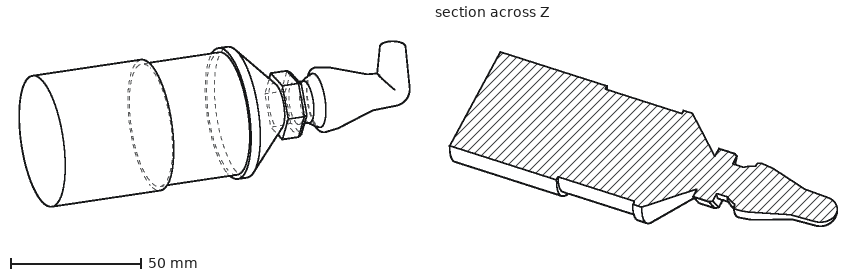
import cadquery as cq
import math

LENGTH = 149.9

CAP_RADIUS = 50.8 / 2
BARREL_RADIUS = 47.5 / 2
CAP_END = 44.4
BARREL_END = 76.0
FLANGE_END = 79.7
SHOULDER_END_RADIUS = 9.0
SHOULDER_END = 95.8

NUT_ACROSS_FLATS = 22.5
NUT_THICKNESS = 8.0
NUT_CHAMFER_LENGTH = 1.3
NUT_CHAMFER_DEPTH = 0.7
NUT_END = SHOULDER_END + NUT_THICKNESS

NECK_RADIUS = 16.2 / 2
NECK_END = 108.0
BALL_RADIUS = 11.0
BALL_CENTER = NECK_END + math.sqrt(BALL_RADIUS**2 - NECK_RADIUS**2)

SOCKET_START = 112.1
SOCKET_RADIUS = 12.6
RIM_ROUND = 1.5
BELL_END = 120.8
BELL_END_RADIUS = 11.2
CONE_END = 133.8
CONE_END_RADIUS = 7.0
CONE_BLEND_RADIUS = 3.0

ELBOW_RADIUS = 6.6
ELBOW_CENTER = LENGTH - ELBOW_RADIUS
OUTLET_HEIGHT = 18.0
OUTLET_TOP_RADIUS = 5.0
OUTLET_ROUND = 0.5


def revolve_about_y(profile):
    return profile.close().revolve(360, (0, 0, 0), (0, 1, 0))


def make_body():
    profile = (
        cq.Workplane("XY")
        .lineTo(CAP_RADIUS, 0)
        .lineTo(CAP_RADIUS, CAP_END)
        .lineTo(BARREL_RADIUS, CAP_END)
        .lineTo(BARREL_RADIUS, BARREL_END)
        .lineTo(CAP_RADIUS, BARREL_END)
        .lineTo(CAP_RADIUS, FLANGE_END)
        .lineTo(SHOULDER_END_RADIUS, SHOULDER_END)
        .lineTo(0, SHOULDER_END)
    )
    return revolve_about_y(profile)


def make_nut():
    corner_diameter = NUT_ACROSS_FLATS / math.cos(math.pi / 6)
    straight_length = NUT_THICKNESS - NUT_CHAMFER_LENGTH
    chamfer_angle = math.degrees(math.atan2(NUT_CHAMFER_DEPTH, NUT_CHAMFER_LENGTH))
    base = cq.Workplane("XZ", origin=(0, SHOULDER_END, 0)).polygon(6, corner_diameter)
    rim = cq.Workplane("XZ", origin=(0, SHOULDER_END + straight_length, 0)).polygon(6, corner_diameter)
    return base.extrude(-straight_length).union(rim.extrude(-NUT_CHAMFER_LENGTH, taper=chamfer_angle))


def make_neck_and_ball():
    neck = cq.Workplane("XZ", origin=(0, NUT_END, 0)).circle(NECK_RADIUS).extrude(NUT_END - BALL_CENTER)
    ball = cq.Workplane("XY", origin=(0, BALL_CENTER, 0)).sphere(BALL_RADIUS)
    socket_side = cq.Workplane("XZ", origin=(0, BALL_CENTER, 0)).circle(BALL_RADIUS).extrude(-BALL_RADIUS)
    return neck.union(ball.cut(socket_side))


def make_socket_and_arm():
    rim_offset = RIM_ROUND * (1 - math.sqrt(0.5))
    profile = (
        cq.Workplane("XY")
        .moveTo(0, SOCKET_START)
        .lineTo(SOCKET_RADIUS - RIM_ROUND, SOCKET_START)
        .threePointArc(
            (SOCKET_RADIUS - rim_offset, SOCKET_START + rim_offset),
            (SOCKET_RADIUS, SOCKET_START + RIM_ROUND),
        )
        .tangentArcPoint((BELL_END_RADIUS, BELL_END), relative=False)
        .lineTo(CONE_END_RADIUS, CONE_END)
        .lineTo(ELBOW_RADIUS, ELBOW_CENTER)
        .lineTo(0, ELBOW_CENTER)
    )
    joint_margin = 0.1
    arm_joint = cq.selectors.BoxSelector(
        (-SOCKET_RADIUS, CONE_END - joint_margin, -SOCKET_RADIUS),
        (SOCKET_RADIUS, CONE_END + joint_margin, SOCKET_RADIUS),
    )
    return revolve_about_y(profile).edges(arm_joint).fillet(CONE_BLEND_RADIUS)


def make_elbow():
    corner = cq.Workplane("XY", origin=(0, ELBOW_CENTER, 0)).sphere(ELBOW_RADIUS)
    outlet = (
        cq.Workplane("XY", origin=(0, ELBOW_CENTER, 0))
        .circle(ELBOW_RADIUS)
        .workplane(offset=OUTLET_HEIGHT)
        .circle(OUTLET_TOP_RADIUS)
        .loft(ruled=True)
        .faces(">Z")
        .edges()
        .fillet(OUTLET_ROUND)
    )
    return corner.union(outlet)


result = (
    make_body()
    .union(make_nut())
    .union(make_neck_and_ball())
    .union(make_socket_and_arm())
    .union(make_elbow())
)